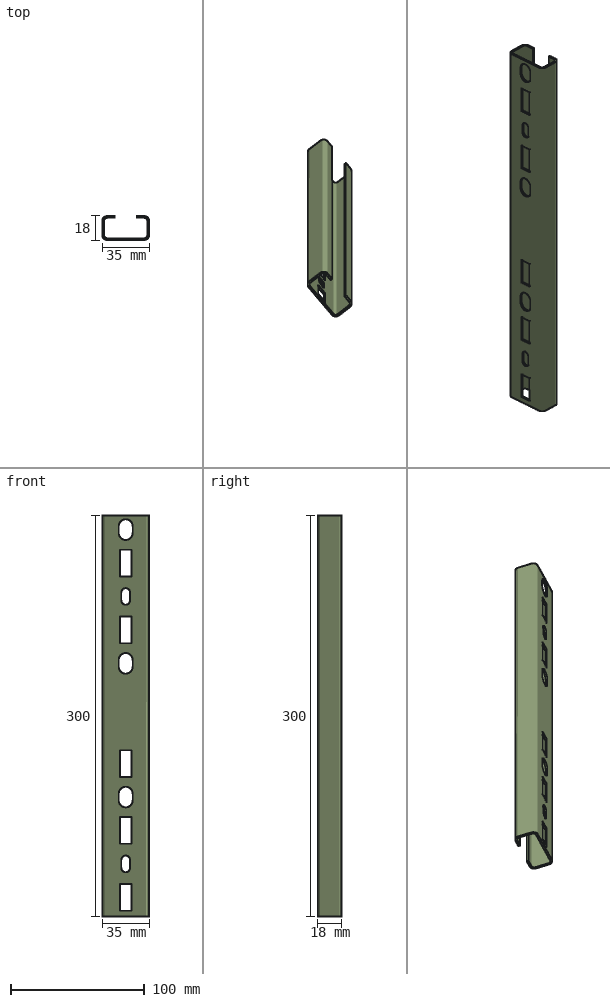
import cadquery as cq

length = 300.0
width = 35.0
depth = 18.0
wall = 1.5
bend_radius = 3.5
mouth_width = 16.5

pitch = length / 12
first_hole_z = 14.5
web_pattern = [
    "rectangle", "small", "rectangle", "large", "rectangle",
    None, None,
    "large", "rectangle", "small", "rectangle", "large",
]
rectangle_width = 8.5
rectangle_height = 19.8
small_slot_width = 6.3
small_slot_height = 12.3
large_slot_width = 10.2
large_slot_height = 15.3


def rounded_bar(bar_width, bar_depth, corner_radius):
    """Full-length bar centred on Z with rounded long edges."""
    bar = cq.Workplane("XY").rect(bar_width, bar_depth).extrude(length)
    return bar.edges("|Z").fillet(corner_radius)


def make_rail():
    """Hollow the bar and open the +Y side between the lips."""
    outside = rounded_bar(width, depth, bend_radius)
    inside = rounded_bar(width - 2 * wall, depth - 2 * wall, bend_radius - wall)
    mouth = cq.Workplane("XY").center(0, depth / 2).rect(mouth_width, depth).extrude(length)
    return outside.cut(inside).cut(mouth)


def make_cutter(kind, z):
    """Punch through the web only, centred at height z."""
    sketch = cq.Workplane("XZ", origin=(0, -depth / 2 + wall, z))
    if kind == "rectangle":
        outline = sketch.rect(rectangle_width, rectangle_height)
    elif kind == "small":
        outline = sketch.slot2D(small_slot_height, small_slot_width, 90)
    else:
        outline = sketch.slot2D(large_slot_height, large_slot_width, 90)
    return outline.extrude(wall, both=True)


result = make_rail()
for index, kind in enumerate(web_pattern):
    if kind is not None:
        result = result.cut(make_cutter(kind, first_hole_z + index * pitch))